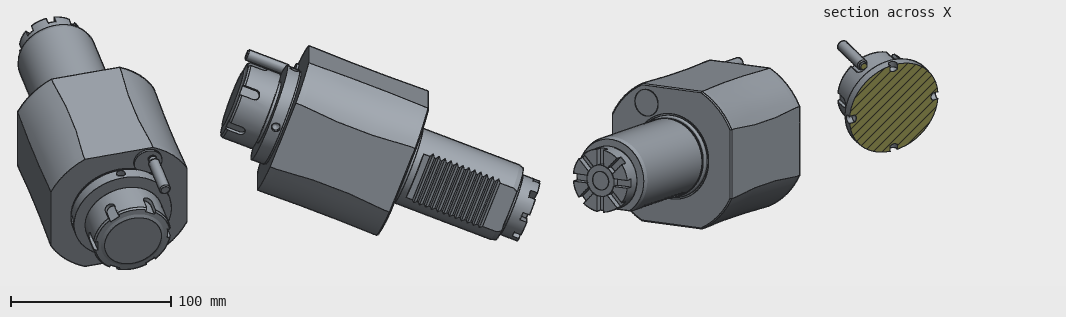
import cadquery as cq
import math


OVERALL_L = 198.1
CUT_MARGIN = 1.0

COUPLING_END_X = -83.7
COUPLING_R = 20.0
COUPLING_GROOVE_START_X = -72.4
COUPLING_GROOVE_R = 19.0
COUPLING_SLOT_COUNT = 8
COUPLING_SLOT_W = 5.0
COUPLING_SLOT_DEPTH = 4.5
COUPLING_HUB_R = 10.0
HUB_RECESS_DEPTH = 0.3
CENTRE_RECESS_R = 5.9
CENTRE_RECESS_DEPTH = 0.6

SHANK_END_X = -71.0
SHANK_R = 25.0
SHANK_CHAMFER_L = 3.0
SHANK_CHAMFER_H = 0.9
SHANK_FLAT_Z = -20.0
SHANK_FLAT_END_X = -7.7
UNDERCUT_START_X = -3.4
UNDERCUT_R = 24.6
COLLAR_R = 26.1
COLLAR_L = 1.8
COLLAR_ROUND_R = 1.2
COLLAR_GAP_R = 27.2
COLLAR_GAP_DEPTH = 0.5

NOTCH_COUNT = 12
NOTCH_PITCH = 4.0
NOTCH_FIRST_X = -57.4
NOTCH_DEPTH = 1.5

HOUSING_L = 80.7
HOUSING_SIDE = 88.0
HOUSING_END_R = 49.2
HOUSING_WAIST_R = 48.3
HOUSING_BAND_L = 4.3
HOUSING_CHAMFER = 0.8

PORT_Y = 18.5
PORT_Z = 32.1
PORT_R = 8.5
PORT_DEPTH = 0.5

FLANGE_R = 31.5
FLANGE_START_X = 81.8
FLANGE_END_X = 89.9
FLANGE_SEAT_R = 31.0
FLANGE_HOLE_X = 85.5
FLANGE_HOLE_D = 5.4
FLANGE_HOLE_DEPTH = 4.0
FLANGE_HOLE_TIP_ANGLE = 118.0
FLANGE_HOLE_COUNT = 4

NUT_NECK_R = 20.3
NUT_START_X = 92.2
NUT_R = 25.0
NUT_FACE_X = 113.2
NUT_END_X = COUPLING_END_X + OVERALL_L
NUT_NOSE_R = 18.4
NUT_CHAMFER_L = 1.3
NUT_CHAMFER_H = 0.9
NUT_FACE_L = 0.4
NUT_FACE_INNER_R = 20.4
NUT_SLOT_COUNT = 6
NUT_SLOT_W = 6.6
NUT_SLOT_START_X = 101.4
NUT_SLOT_FLOOR_R = 22.5

PIN_Y = 21.1
PIN_Z = 36.2
PIN_R = 3.5
PIN_START_X = 85.8
PIN_END_X = 113.5
PIN_CHAMFER = 0.8
PIN_NECK_R = 2.4
PIN_ROOT_R = 3.4
PIN_ROOT_END_X = 82.9
WASHER_Y = 18.5
WASHER_Z = 34.0
WASHER_R = 9.0
WASHER_L = 1.5


def disc(start_x, end_x, radius, y=0.0, z=0.0):
    """Cylinder along X between two stations."""
    plane = cq.Plane(origin=(start_x, y, z), xDir=(0, 1, 0), normal=(1, 0, 0))
    return cq.Workplane(plane).circle(radius).extrude(end_x - start_x)


def block(start_x, end_x, y_size, start_z, end_z):
    """Box centred on Y, placed by its X and Z limits."""
    box = cq.Workplane("XY").box(end_x - start_x, y_size, end_z - start_z, centered=(False, True, False))
    return box.translate((start_x, 0, start_z))


def around_axis(shape, count):
    """Copies of a shape spread evenly around the spindle axis."""
    step = 360.0 / count
    copies = [shape.rotate((0, 0, 0), (1, 0, 0), i * step) for i in range(count)]
    pattern = copies[0]
    for copy in copies[1:]:
        pattern = pattern.union(copy)
    return pattern


def make_coupling():
    coupling = disc(COUPLING_END_X, COUPLING_GROOVE_START_X, COUPLING_R)
    coupling = coupling.union(disc(COUPLING_GROOVE_START_X, SHANK_END_X, COUPLING_GROOVE_R))
    slot_floor_x = COUPLING_END_X + COUPLING_SLOT_DEPTH
    slot = block(COUPLING_END_X, slot_floor_x, COUPLING_SLOT_W, 0, COUPLING_R + CUT_MARGIN)
    hub = disc(COUPLING_END_X, slot_floor_x, COUPLING_HUB_R)
    coupling = coupling.cut(around_axis(slot, COUPLING_SLOT_COUNT).cut(hub))
    coupling = coupling.cut(disc(COUPLING_END_X, COUPLING_END_X + HUB_RECESS_DEPTH, COUPLING_HUB_R))
    recess = disc(COUPLING_END_X, COUPLING_END_X + CENTRE_RECESS_DEPTH, CENTRE_RECESS_R)
    return coupling.cut(recess)


def make_shank():
    profile = [
        (SHANK_END_X, 0),
        (SHANK_END_X, SHANK_R - SHANK_CHAMFER_H),
        (SHANK_END_X + SHANK_CHAMFER_L, SHANK_R),
        (UNDERCUT_START_X, SHANK_R),
        (UNDERCUT_START_X, UNDERCUT_R),
        (0, UNDERCUT_R),
        (0, 0),
    ]
    shank = cq.Workplane("XY").polyline(profile).close().revolve(360, (0, 0, 0), (1, 0, 0))
    collar = disc(-COLLAR_L, COLLAR_GAP_DEPTH, COLLAR_R).faces("<X").edges().fillet(COLLAR_ROUND_R)
    shank = shank.union(collar)
    flat = block(SHANK_END_X, SHANK_FLAT_END_X, 2 * SHANK_R, -SHANK_R - CUT_MARGIN, SHANK_FLAT_Z)
    shank = shank.cut(flat)
    for i in range(NOTCH_COUNT):
        x = NOTCH_FIRST_X + i * NOTCH_PITCH
        notch = (
            cq.Workplane("XZ")
            .polyline([
                (x - NOTCH_DEPTH, SHANK_FLAT_Z),
                (x, SHANK_FLAT_Z + NOTCH_DEPTH),
                (x + NOTCH_DEPTH, SHANK_FLAT_Z),
            ])
            .close()
            .extrude(SHANK_R, both=True)
        )
        shank = shank.cut(notch)
    return shank


def make_housing():
    band_end_x = HOUSING_L - HOUSING_BAND_L
    barrel = (
        cq.Workplane("XY")
        .moveTo(0, 0)
        .lineTo(0, HOUSING_END_R)
        .lineTo(HOUSING_BAND_L, HOUSING_END_R)
        .threePointArc((HOUSING_L / 2, HOUSING_WAIST_R), (band_end_x, HOUSING_END_R))
        .lineTo(HOUSING_L, HOUSING_END_R)
        .lineTo(HOUSING_L, 0)
        .close()
        .revolve(360, (0, 0, 0), (1, 0, 0))
    )
    square = block(0, HOUSING_L, HOUSING_SIDE, -HOUSING_SIDE / 2, HOUSING_SIDE / 2)
    housing = barrel.intersect(square).faces("<X").chamfer(HOUSING_CHAMFER)
    housing = housing.cut(disc(0, COLLAR_GAP_DEPTH, COLLAR_GAP_R))
    return housing.cut(disc(0, PORT_DEPTH, PORT_R, PORT_Y, PORT_Z))


def make_flange():
    flange = disc(HOUSING_L, FLANGE_START_X, FLANGE_SEAT_R)
    flange = flange.union(disc(FLANGE_START_X, FLANGE_END_X, FLANGE_R))
    hole_r = FLANGE_HOLE_D / 2
    hole_floor_z = FLANGE_R - FLANGE_HOLE_DEPTH
    hole_top_z = FLANGE_R + CUT_MARGIN
    tip_z = hole_floor_z - hole_r / math.tan(math.radians(FLANGE_HOLE_TIP_ANGLE / 2))
    hole = (
        cq.Workplane("XZ")
        .polyline([(0, tip_z), (hole_r, hole_floor_z), (hole_r, hole_top_z), (0, hole_top_z)])
        .close()
        .revolve(360, (0, 0, 0), (0, 1, 0))
        .translate((FLANGE_HOLE_X, 0, 0))
    )
    return flange.cut(around_axis(hole, FLANGE_HOLE_COUNT))


def make_nut():
    profile = [
        (FLANGE_END_X, 0),
        (FLANGE_END_X, NUT_NECK_R),
        (NUT_START_X, NUT_NECK_R),
        (NUT_START_X, NUT_R),
        (NUT_FACE_X - NUT_CHAMFER_L, NUT_R),
        (NUT_FACE_X, NUT_R - NUT_CHAMFER_H),
        (NUT_FACE_X + NUT_FACE_L, NUT_FACE_INNER_R),
        (NUT_END_X, NUT_NOSE_R),
        (NUT_END_X, 0),
    ]
    nut = cq.Workplane("XY").polyline(profile).close().revolve(360, (0, 0, 0), (1, 0, 0))
    slot_r = NUT_SLOT_W / 2
    slot_depth = NUT_R + CUT_MARGIN - NUT_SLOT_FLOOR_R
    arc_centre_x = NUT_SLOT_START_X + slot_r
    slot = block(arc_centre_x, NUT_FACE_X + NUT_FACE_L, NUT_SLOT_W, NUT_SLOT_FLOOR_R, NUT_R + CUT_MARGIN)
    slot_end = (
        cq.Workplane("XY", origin=(arc_centre_x, 0, NUT_SLOT_FLOOR_R)).circle(slot_r).extrude(slot_depth)
    )
    slot = slot.union(slot_end).rotate((0, 0, 0), (1, 0, 0), 90)
    return nut.cut(around_axis(slot, NUT_SLOT_COUNT))


def make_coolant_pin():
    washer = disc(HOUSING_L, HOUSING_L + WASHER_L, WASHER_R, WASHER_Y, WASHER_Z)
    neck = disc(HOUSING_L, PIN_START_X, PIN_NECK_R, PIN_Y, PIN_Z)
    root_length = PIN_ROOT_END_X - HOUSING_L
    root = cq.Solid.makeCone(
        PIN_ROOT_R, PIN_NECK_R, root_length, cq.Vector(HOUSING_L, PIN_Y, PIN_Z), cq.Vector(1, 0, 0)
    )
    pin = disc(PIN_START_X, PIN_END_X, PIN_R, PIN_Y, PIN_Z).faces("<X or >X").chamfer(PIN_CHAMFER)
    return washer.union(cq.Workplane(root)).union(neck).union(pin)


result = (
    make_housing()
    .union(make_shank())
    .union(make_coupling())
    .union(make_flange())
    .union(make_nut())
    .union(make_coolant_pin())
)